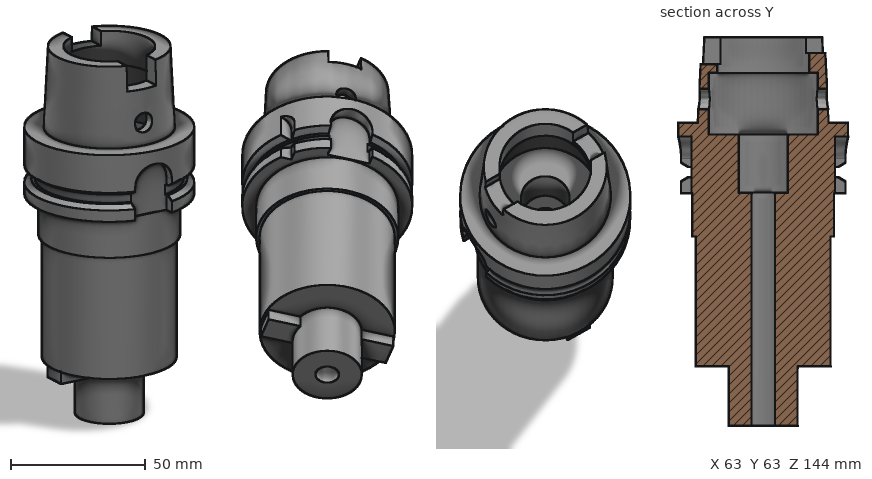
import cadquery as cq

total_height = 144.0
flange_top = 112.3
upper_rim_bottom = 97.5
lower_rim_top = 90.6
flange_bottom = 86.1
collar_bottom = 70.1
body_bottom = 22.0

taper_top_radius = 22.8
taper_base_radius = 24.3
flange_radius = 31.5
groove_radius = 27.6
collar_radius = 26.4
body_radius = 25.0
pilot_radius = 12.8

groove_chamfer_height = 1.6
groove_chamfer_width = 2.6

mouth_radius = 17.0
undercut_radius = 20.2
mouth_depth = 13.2
mouth_floor = 108.0
counterbore_radius = 9.0
counterbore_floor = 86.4
through_radius = 4.3

notch_width = 12.7
near_notch_depth = 5.8
far_notch_depth = 10.0

cross_hole_radius = 3.7
cross_hole_height = 121.1

keyway_radius = 8.0
keyway_top = 107.1
keyway_floor = 26.6
index_slot_radius = 6.0
index_slot_edge = 20.2
index_slot_floor = 20.2

key_width = 9.5
key_reach = 24.2
key_height = 4.9


def outer_body():
    chamfer_radius = flange_radius - groove_chamfer_width
    groove_top = upper_rim_bottom - groove_chamfer_height
    groove_bottom = lower_rim_top + groove_chamfer_height
    profile = [
        (0, 0),
        (pilot_radius, 0),
        (pilot_radius, body_bottom),
        (body_radius, body_bottom),
        (body_radius, collar_bottom),
        (collar_radius, collar_bottom),
        (collar_radius, flange_bottom),
        (flange_radius, flange_bottom),
        (flange_radius, lower_rim_top),
        (chamfer_radius, groove_bottom),
        (groove_radius, groove_bottom),
        (groove_radius, groove_top),
        (chamfer_radius, groove_top),
        (flange_radius, upper_rim_bottom),
        (flange_radius, flange_top),
        (taper_base_radius, flange_top),
        (taper_top_radius, total_height),
        (0, total_height),
    ]
    return cq.Workplane("XZ").polyline(profile).close().revolve(360, (0, 0), (0, 1))


def bores():
    undercut_start = total_height - mouth_depth
    profile = [
        (0, 0),
        (through_radius, 0),
        (through_radius, counterbore_floor),
        (counterbore_radius, counterbore_floor),
        (counterbore_radius, mouth_floor),
        (undercut_radius, mouth_floor),
        (undercut_radius, undercut_start),
        (mouth_radius, undercut_start),
        (mouth_radius, total_height),
        (0, total_height),
    ]
    return cq.Workplane("XZ").polyline(profile).close().revolve(360, (0, 0), (0, 1))


def drive_notch(side, depth):
    return (
        cq.Workplane("XY", origin=(0, 0, total_height - depth))
        .center(side * flange_radius / 2, 0)
        .rect(flange_radius, notch_width)
        .extrude(depth)
    )


def cross_hole():
    return (
        cq.Workplane("YZ", origin=(0, 0, cross_hole_height))
        .circle(cross_hole_radius)
        .extrude(flange_radius, both=True)
    )


def arched_slot(side, center_y, radius, floor):
    """Round-topped cutter open at the flange bottom, with a flat floor facing along X."""
    spring_height = keyway_top - radius
    return (
        cq.Workplane("YZ", origin=(side * floor, 0, 0))
        .moveTo(center_y - radius, flange_bottom)
        .lineTo(center_y - radius, spring_height)
        .threePointArc((center_y, keyway_top), (center_y + radius, spring_height))
        .lineTo(center_y + radius, flange_bottom)
        .close()
        .extrude(side * (flange_radius - floor))
    )


def drive_key(side):
    inner_end = pilot_radius / 2
    return (
        cq.Workplane("XY", origin=(0, 0, body_bottom - key_height))
        .center(0, side * (inner_end + key_reach) / 2)
        .rect(key_width, key_reach - inner_end)
        .extrude(key_height)
    )


result = outer_body()
for side in (-1, 1):
    result = result.union(drive_key(side))
    result = result.cut(arched_slot(side, 0, keyway_radius, keyway_floor))

index_slot_center = index_slot_edge + index_slot_radius
result = result.cut(arched_slot(-1, index_slot_center, index_slot_radius, index_slot_floor))
result = result.cut(drive_notch(-1, near_notch_depth))
result = result.cut(drive_notch(1, far_notch_depth))
result = result.cut(cross_hole())
result = result.cut(bores())